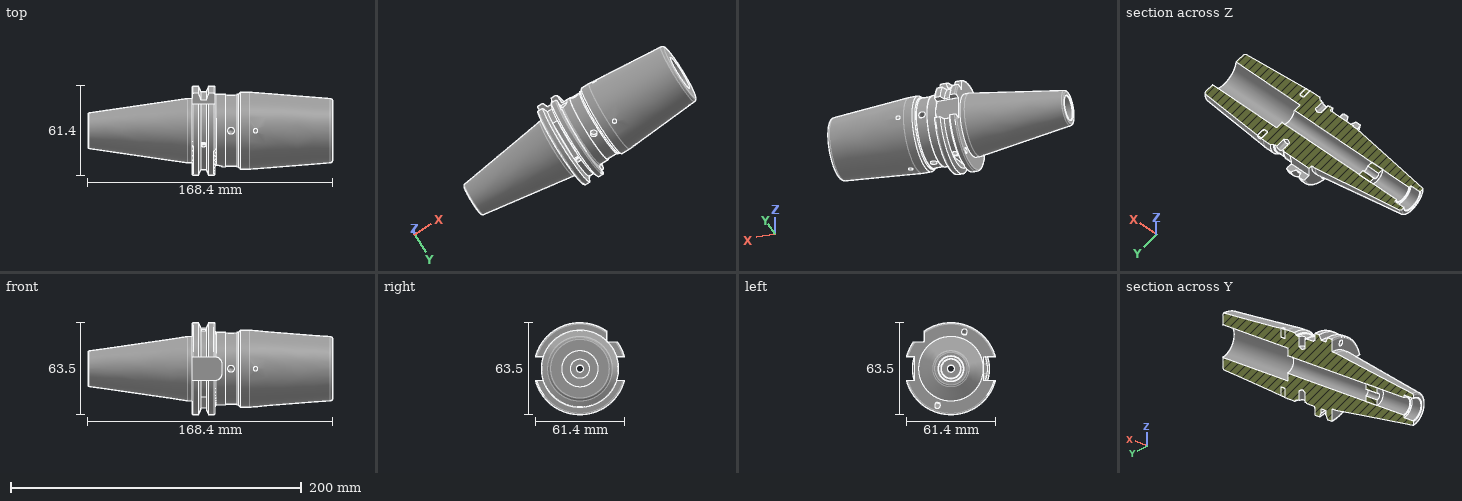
import cadquery as cq
import math

length = 168.4
tolerance = 0.02
overshoot = 1.7

taper_ratio = 7 / 48
gauge_x = 68.4
gauge_radius = 22.2
shank_edge_fillet = 1.2

flange_start = 71.5
flange_end = 87.4
flange_radius = 63.5 / 2
flange_edge_fillet = 1.0
groove_center = 79.5
groove_bottom_radius = 28.1
groove_bottom_width = 3.7
groove_top_width = 7.0

neck_radius = 25.1
neck_fillet = 1.0
relief_radius = 24.6
relief_start = 94.6
relief_end = 102.4

head_ramp_start = 103.4
head_start = 104.9
head_radius = 26.6
cone_start = 111.1
nose_radius = 22.0
nose_fillet = 2.0

pilot_radius = 17.0 / 2
pilot_depth = 8.3
thread_radius = 6.5
bore_mouth_chamfer = 0.42
tool_radius = 12.5
tool_depth = 57.3

stop_screw_start = 32.0
stop_screw_length = 10.1
coolant_radius = 2.4

slot_width = 16.2
slot_end = 92.1
slot_corner_radius = 4.7
front_slot_floor = 22.5
rear_slot_floor = neck_radius

notch_floor_y = 18.5
notch_floor_z = 18.5

groove_flat_distance = 24.2
groove_flat_angle = 15.3

supply_angle = 20.0
supply_radius = 1.9
supply_entry_radius = 27.0
supply_slant = 30.0
supply_depth = 20.2
groove_hole_radius = 1.7
groove_hole_floor = 16.8

hole_count = 4
balance_x = 98.3
balance_radius = 2.4
balance_depth = 7.5
drill_point_angle = 118.0

plug_x = 115.2
plug_radius = 1.5
plug_length = 6.7
cone_slope = (head_radius - nose_radius) / (length - cone_start)
plug_top = head_radius - cone_slope * (plug_x + plug_radius - cone_start)


def cylinder(origin, direction, radius, depth):
    return cq.Workplane(cq.Solid.makeCylinder(radius, depth, cq.Vector(*origin), cq.Vector(*direction)))


def around_axis(body):
    """Copies of a body spread evenly around the part axis."""
    return [body.rotate((0, 0, 0), (1, 0, 0), i * 360 / hole_count) for i in range(hole_count)]


def fillet_circle(solid, x, radius, size):
    """Round the circular edge of the given radius at position x."""
    circles = [
        edge
        for edge in solid.edges("%CIRCLE").vals()
        if abs(edge.Center().x - x) < tolerance and abs(edge.radius() - radius) < tolerance
    ]
    return solid.newObject(circles).fillet(size)


def holder_blank():
    tip_radius = gauge_radius - gauge_x * taper_ratio
    outline = [
        (0, 0),
        (0, tip_radius),
        (gauge_x, gauge_radius),
        (flange_start, gauge_radius),
        (flange_start, flange_radius),
        (groove_center - groove_top_width / 2, flange_radius),
        (groove_center - groove_bottom_width / 2, groove_bottom_radius),
        (groove_center + groove_bottom_width / 2, groove_bottom_radius),
        (groove_center + groove_top_width / 2, flange_radius),
        (flange_end, flange_radius),
        (flange_end, neck_radius),
        (relief_start, neck_radius),
        (relief_start, relief_radius),
        (relief_end, relief_radius),
        (relief_end, neck_radius),
        (head_ramp_start, neck_radius),
        (head_start, head_radius),
        (cone_start, head_radius),
        (length, nose_radius),
        (length, 0),
    ]
    blank = cq.Workplane("XY").polyline(outline).close().revolve(360, (0, 0, 0), (1, 0, 0))
    blank = fillet_circle(blank, 0, tip_radius, shank_edge_fillet)
    blank = fillet_circle(blank, flange_start, flange_radius, flange_edge_fillet)
    blank = fillet_circle(blank, flange_end, flange_radius, flange_edge_fillet)
    blank = fillet_circle(blank, flange_end, neck_radius, neck_fillet)
    return fillet_circle(blank, length, nose_radius, nose_fillet)


def mouth_chamfer(x, radius):
    mouth_radius = radius + bore_mouth_chamfer
    cone = cq.Solid.makeCone(mouth_radius, radius, bore_mouth_chamfer, cq.Vector(x, 0, 0), cq.Vector(1, 0, 0))
    return cq.Workplane(cone)


def axial_bores():
    pilot = cylinder((0, 0, 0), (1, 0, 0), pilot_radius, pilot_depth)
    pilot = pilot.union(mouth_chamfer(0, pilot_radius))
    thread = cylinder((0, 0, 0), (1, 0, 0), thread_radius, length - tool_depth)
    thread = thread.union(mouth_chamfer(pilot_depth, thread_radius))
    tool = cylinder((length, 0, 0), (-1, 0, 0), tool_radius, tool_depth)
    return pilot.union(thread).union(tool)


def driving_slot(side, floor):
    """Slot through the flange; side is 1 for +Y and -1 for -Y."""
    start = flange_start - overshoot
    slot = (
        cq.Workplane("XY")
        .box(slot_end - start, flange_radius, slot_width, centered=(False, False, True))
        .edges(">X and |Y")
        .fillet(slot_corner_radius)
        .translate((start, floor, 0))
    )
    return slot if side > 0 else slot.mirror("XZ")


def orientation_notch():
    notch = cq.Workplane("XY").box(flange_end - flange_start, flange_radius, flange_radius, centered=False)
    return notch.translate((flange_start, notch_floor_y, notch_floor_z))


def groove_flat():
    """Material between the groove floor and a flat below it."""
    breadth = flange_radius * 2
    flat = cq.Workplane("XY").box(groove_bottom_width, breadth, flange_radius, centered=(True, True, False))
    flat = flat.translate((groove_center, 0, -groove_flat_distance - flange_radius))
    return flat.rotate((0, 0, 0), (1, 0, 0), -groove_flat_angle)


def supply_holes():
    """Two opposite channels from the flange face, each with a radial hole from the groove."""
    run = math.cos(math.radians(supply_slant))
    rise = math.sin(math.radians(supply_slant))
    start = (flange_start - overshoot * run, 0, supply_entry_radius + overshoot * rise)
    channel = cylinder(start, (run, 0, -rise), supply_radius, supply_depth)
    drop_length = groove_bottom_radius + overshoot - groove_hole_floor
    drop = cylinder((groove_center, 0, groove_hole_floor), (0, 0, 1), groove_hole_radius, drop_length)
    single = channel.union(drop).rotate((0, 0, 0), (1, 0, 0), supply_angle)
    return single.union(single.rotate((0, 0, 0), (1, 0, 0), 180))


def balancing_hole():
    floor = relief_radius - balance_depth
    point = balance_radius / math.tan(math.radians(drill_point_angle / 2))
    shaft = cylinder((balance_x, 0, floor), (0, 0, 1), balance_radius, balance_depth + overshoot)
    tip = cq.Workplane(
        cq.Solid.makeCone(balance_radius, 0, point, cq.Vector(balance_x, 0, floor), cq.Vector(0, 0, -1))
    )
    return shaft.union(tip)


def plug_hole():
    depth = plug_length + overshoot
    return cylinder((plug_x, 0, plug_top - plug_length), (0, 0, 1), plug_radius, depth)


def holder_body():
    holder = holder_blank().cut(axial_bores())
    holder = holder.cut(driving_slot(-1, front_slot_floor)).cut(driving_slot(1, rear_slot_floor))
    holder = holder.cut(orientation_notch()).cut(groove_flat()).cut(supply_holes())
    for hole in around_axis(balancing_hole()) + around_axis(plug_hole()):
        holder = holder.cut(hole)
    return holder


def plug():
    return cylinder((plug_x, 0, plug_top - plug_length), (0, 0, 1), plug_radius, plug_length)


def stop_screw():
    screw = cylinder((stop_screw_start, 0, 0), (1, 0, 0), thread_radius, stop_screw_length)
    return screw.cut(cylinder((0, 0, 0), (1, 0, 0), coolant_radius, length))


holder = holder_body()
screw = stop_screw()
plugs = around_axis(plug())

result = cq.Compound.makeCompound([holder.val(), screw.val(), *[each.val() for each in plugs]])